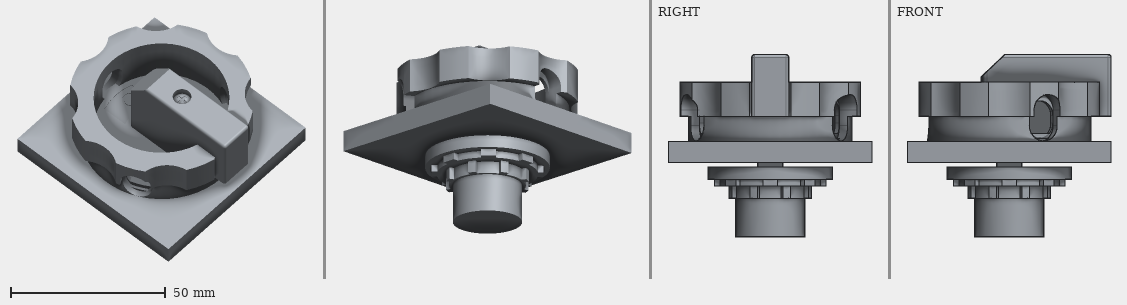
import cadquery as cq
import math


plate_side = 66
plate_thickness = 6.85
stem_side = 8.2
stem_height = 1.4
collar_diameter = 40.4
collar_height = 4.0
tab_ring_diameter = 32.9
tab_ring_height = 2.25
tab_span = 36.25
tab_width = 4.75
tab_count = 8
tooth_ring_diameter = 24.8
tooth_ring_height = 3.9
tooth_tip_diameter = 28.05
tooth_width = 2.7
tooth_count = 8
boss_diameter = 22.45
boss_height = 12.5

neck_diameter = 53.0
neck_height = 8.1
grip_diameter = 60.0
grip_height = 11.0
knob_height = neck_height + grip_height
bore_diameter = 43.95
floor_height = 2.5
scallop_count = 8
scallop_radius = 11.0
scallop_inner_radius = 27.0

lock_angles = (60, 180, 295)
mouth_width = 9.9
mouth_bottom = 0.1
mouth_top = 15.1
hole_width = 9.65
hole_bottom = 1.05
hole_top = 13.15
sleeve_diameter = 47.0
ledge_diameter = 48.7
ledge_height = 1.0

handle_width = 12.0
handle_tip_x = -9.2
handle_end_x = plate_side / 2
handle_height = 28.1
slope_run = 7.7
slope_drop = 7.3
nose_radius = 19.8
nose_corner_radius = 1.3
edge_radius = 1.0

screw_x = 9.0
screw_diameter = 6.1
screw_edge_depth = 2.5
screw_dome_height = 1.0
cross_length = 3.6
cross_width = 0.9
cross_depth = 0.5

marker_outer_x = -20.05
marker_inner_x = -11.0
marker_half_width = 6.6
marker_radius = 20.05
marker_depth = 0.2
ring_x = -15.1
ring_y = 1.9
ring_outer_diameter = 5.8
ring_inner_diameter = 4.35


def disc(diameter, bottom, height):
    return cq.Workplane("XY").workplane(offset=bottom).circle(diameter / 2).extrude(height)


def box(length, width, bottom, height):
    return cq.Workplane("XY").workplane(offset=bottom).rect(length, width).extrude(height)


def turned(body, angle):
    """Body turned about the Z axis by an angle in degrees."""
    return body.rotate((0, 0, 0), (0, 0, 1), angle)


def make_base():
    """Plate with the stem, collar, tabbed ring, toothed ring and boss hanging below it."""
    base = box(plate_side, plate_side, -plate_thickness, plate_thickness)

    level = -plate_thickness - stem_height
    base = base.union(box(stem_side, stem_side, level, stem_height))

    level -= collar_height
    base = base.union(disc(collar_diameter, level, collar_height))

    level -= tab_ring_height
    base = base.union(disc(tab_ring_diameter, level, tab_ring_height))
    tab_pair = box(tab_span, tab_width, level, tab_ring_height)
    for index in range(tab_count // 2):
        base = base.union(turned(tab_pair, index * 360 / tab_count))

    level -= tooth_ring_height
    base = base.union(disc(tooth_ring_diameter, level, tooth_ring_height))
    tooth_tips = disc(tooth_tip_diameter, level, tooth_ring_height)
    tooth_pair = box(tooth_tip_diameter, tooth_width, level, tooth_ring_height).intersect(tooth_tips)
    for index in range(tooth_count // 2):
        base = base.union(turned(tooth_pair, (index + 0.5) * 360 / tooth_count))

    level -= boss_height
    return base.union(disc(boss_diameter, level, boss_height))


def make_knob():
    """Solid neck and scalloped grip, bored from the top down to the floor."""
    scallops = (
        cq.Workplane("XY")
        .workplane(offset=neck_height)
        .polarArray(scallop_inner_radius + scallop_radius, 0, 360, scallop_count)
        .circle(scallop_radius)
        .extrude(grip_height)
    )
    grip = disc(grip_diameter, neck_height, grip_height).cut(scallops)
    knob = disc(neck_diameter, 0, neck_height).union(grip)
    return knob.cut(disc(bore_diameter, floor_height, knob_height))


def radial_slot(width, bottom, top):
    """Upright round-ended slot running from the knob axis out along +X."""
    return (
        cq.Workplane("YZ")
        .center(0, (bottom + top) / 2)
        .slot2D(top - bottom, width, 90)
        .extrude(grip_diameter / 2)
    )


def make_lock_opening():
    """Wide mouth with a raised ledge, stopping at a thin sleeve pierced by a smaller hole."""
    mouth = radial_slot(mouth_width, mouth_bottom, mouth_top)
    mouth = mouth.cut(disc(sleeve_diameter, 0, knob_height)).cut(disc(ledge_diameter, 0, ledge_height))
    hole = radial_slot(hole_width, hole_bottom, hole_top)
    hole = hole.cut(disc(bore_diameter, 0, knob_height)).cut(disc(sleeve_diameter, 0, floor_height))
    return mouth.union(hole)


def make_handle():
    """Bar with a rounded nose, a sloped front and rounded top and end edges."""
    half_width = handle_width / 2
    nose_sag = nose_radius - math.sqrt(nose_radius**2 - half_width**2)
    shoulder_x = handle_tip_x + nose_sag
    handle = (
        cq.Workplane("XY")
        .moveTo(shoulder_x, half_width)
        .threePointArc((handle_tip_x, 0), (shoulder_x, -half_width))
        .lineTo(handle_end_x, -half_width)
        .lineTo(handle_end_x, half_width)
        .close()
        .extrude(handle_height)
    )
    handle = handle.edges("|Z").edges("<X").fillet(nose_corner_radius)
    handle = handle.edges("|Z").edges(">X").fillet(edge_radius)
    handle = handle.faces(">Z").edges().fillet(edge_radius)
    slope = (
        cq.Workplane("XZ")
        .moveTo(handle_tip_x, handle_height - slope_drop)
        .lineTo(handle_tip_x + slope_run, handle_height)
        .lineTo(handle_tip_x, handle_height)
        .close()
        .extrude(half_width, both=True)
    )
    overhang = box(plate_side, plate_side, 0, neck_height).cut(disc(bore_diameter, 0, neck_height))
    return handle.cut(slope).cut(overhang)


def make_screw_recess():
    """Round hole whose bottom is a domed screw head with a cross slot."""
    screw_radius = screw_diameter / 2
    edge_z = handle_height - screw_edge_depth
    dome_top = edge_z + screw_dome_height
    dome_radius = (screw_radius**2 + screw_dome_height**2) / (2 * screw_dome_height)
    dome = cq.Workplane("XY").sphere(dome_radius).translate((0, 0, dome_top - dome_radius))
    recess = disc(screw_diameter, edge_z, screw_edge_depth).cut(dome)
    cross = box(cross_length, cross_width, dome_top - cross_depth, cross_depth)
    cross = cross.union(box(cross_width, cross_length, dome_top - cross_depth, cross_depth))
    return recess.union(cross).translate((screw_x, 0, 0))


def make_marker():
    """Shallow recess with curved ends, around a ring groove of twice the depth."""
    arc_sag = marker_radius - math.sqrt(marker_radius**2 - marker_half_width**2)
    recess = (
        cq.Workplane("XY")
        .workplane(offset=floor_height - marker_depth)
        .moveTo(marker_outer_x + arc_sag, marker_half_width)
        .threePointArc((marker_outer_x, 0), (marker_outer_x + arc_sag, -marker_half_width))
        .lineTo(marker_inner_x + arc_sag, -marker_half_width)
        .threePointArc((marker_inner_x, 0), (marker_inner_x + arc_sag, marker_half_width))
        .close()
        .extrude(marker_depth)
    )
    groove_bottom = floor_height - 2 * marker_depth
    groove = disc(ring_outer_diameter, groove_bottom, marker_depth)
    groove = groove.cut(disc(ring_inner_diameter, groove_bottom, marker_depth))
    return recess.union(groove.translate((ring_x, ring_y, 0)))


knob = make_knob()
lock_opening = make_lock_opening()
for lock_angle in lock_angles:
    knob = knob.cut(turned(lock_opening, lock_angle))
knob = knob.cut(make_marker())

handle = make_handle().cut(make_screw_recess())
result = make_base().union(knob).union(handle)